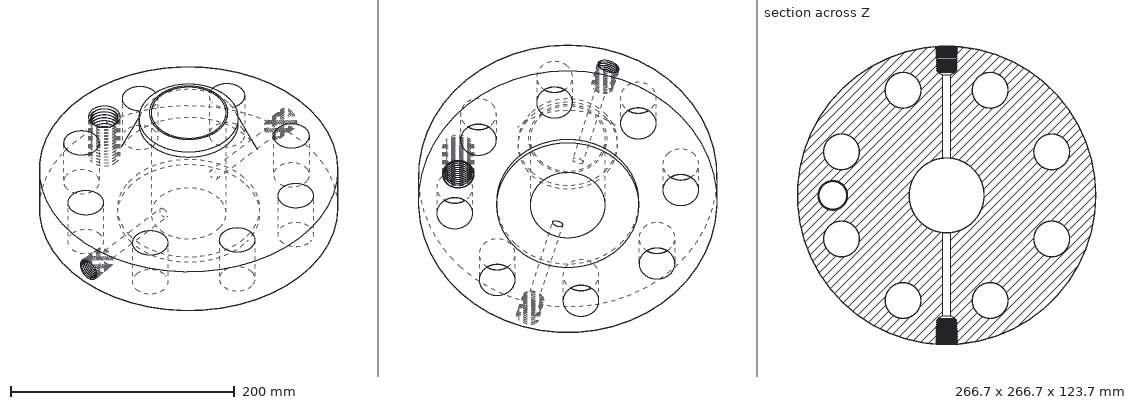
import cadquery as cq
import math

inch = 25.4

flange_diameter = 266.7
flange_thickness = 47.8
raised_face_diameter = 127.0
raised_face_height = 6.4
overall_height = 123.7
flange_top = raised_face_height + flange_thickness

bore_diameter = 66.7
hub_base_diameter = 133.4
neck_diameter = 88.6
neck_cylinder_height = 6.4
weld_land_width = 1.6
weld_bevel_angle = 35.0
hub_fillet_radius = 3.0

bolt_circle_diameter = 203.2
bolt_hole_diameter = 31.75
bolt_count = 8

jack_major_diameter = 28.2
jack_minor_diameter = 24.6
jack_threads_per_inch = 7
jack_pitch = inch / jack_threads_per_inch

tap_height = 24.0
tap_mouth_diameter = 20.7
tap_thread_length = 22.0
tap_threads_per_inch = 14
tap_pitch = inch / tap_threads_per_inch
tap_thread_depth = 1.4
tap_taper = 1 / 16
tap_hole_diameter = 9.5
drill_point_angle = 118.0


def make_body():
    """Flange, raised face, hub and bore as one revolved profile."""
    bore_radius = bore_diameter / 2
    neck_radius = neck_diameter / 2
    land_radius = bore_radius + weld_land_width
    bevel_height = (neck_radius - land_radius) * math.tan(math.radians(weld_bevel_angle))
    bevel_bottom = overall_height - bevel_height
    cone_top = bevel_bottom - neck_cylinder_height
    profile = [
        (bore_radius, 0),
        (raised_face_diameter / 2, 0),
        (raised_face_diameter / 2, raised_face_height),
        (flange_diameter / 2, raised_face_height),
        (flange_diameter / 2, flange_top),
        (hub_base_diameter / 2, flange_top),
        (neck_radius, cone_top),
        (neck_radius, bevel_bottom),
        (land_radius, overall_height),
        (bore_radius, overall_height),
    ]
    return revolve_profile(profile)


def revolve_profile(outline):
    """Solid of revolution about Z from (radius, height) points."""
    return cq.Workplane("XZ").polyline(outline).close().revolve(360, (0, 0, 0), (0, 1, 0))


def fillet_hub_root(body):
    """Round the inside corner where the hub cone meets the flange top."""
    margin = 1.0
    reach = hub_base_diameter / 2 + margin
    around_root = cq.selectors.BoxSelector(
        (-reach, -reach, flange_top - margin),
        (reach, reach, flange_top + margin),
        boundingbox=True,
    )
    return body.edges(around_root).fillet(hub_fillet_radius)


def bolt_holes():
    """Clearance holes on the bolt circle, straddling the X and Y axes."""
    half_spacing = 180 / bolt_count
    return (
        cq.Workplane("XY")
        .polarArray(bolt_circle_diameter / 2, half_spacing, 360, bolt_count)
        .circle(bolt_hole_diameter / 2)
        .extrude(overall_height)
    )


def thread_outline(mouth_diameter, thread_depth, pitch, ring_count, taper):
    """(radius, height) points of V-shaped thread rings rising from height 0.

    The outline starts on the axis and ends on the last thread root.
    taper is the loss of diameter per unit of height.
    """
    outline = [(0, 0), (mouth_diameter / 2, 0)]
    for ring in range(ring_count):
        crest_height = (ring + 0.5) * pitch
        root_height = (ring + 1) * pitch
        outline.append((mouth_diameter / 2 - thread_depth - taper * crest_height / 2, crest_height))
        outline.append((mouth_diameter / 2 - taper * root_height / 2, root_height))
    return outline


def jack_screw_hole():
    """Threaded hole through the flange on the -X side, midway between two bolt holes."""
    thread_depth = (jack_major_diameter - jack_minor_diameter) / 2
    ring_count = math.ceil(flange_thickness / jack_pitch)
    outline = thread_outline(jack_major_diameter, thread_depth, jack_pitch, ring_count, 0)
    outline.append((0, outline[-1][1]))
    return (
        revolve_profile(outline)
        .rotate((0, 0, 0), (1, 0, 0), 180)
        .translate((-bolt_circle_diameter / 2, 0, flange_top))
    )


def pressure_tap():
    """Tapered thread from the -Y rim, a conical drill point and a hole into the bore."""
    ring_count = math.ceil(tap_thread_length / tap_pitch)
    outline = thread_outline(tap_mouth_diameter, tap_thread_depth, tap_pitch, ring_count, tap_taper)
    root_radius, thread_end = outline.pop()
    drill_radius = root_radius - tap_thread_depth
    hole_radius = tap_hole_diameter / 2
    point_height = (drill_radius - hole_radius) / math.tan(math.radians(drill_point_angle / 2))
    outline += [
        (drill_radius, thread_end),
        (hole_radius, thread_end + point_height),
        (hole_radius, flange_diameter / 2),
        (0, flange_diameter / 2),
    ]
    return (
        revolve_profile(outline)
        .rotate((0, 0, 0), (1, 0, 0), -90)
        .translate((0, -flange_diameter / 2, tap_height))
    )


near_tap = pressure_tap()
far_tap = near_tap.rotate((0, 0, 0), (0, 0, 1), 180)

flange = fillet_hub_root(make_body())
result = flange.cut(bolt_holes()).cut(jack_screw_hole()).cut(near_tap).cut(far_tap)